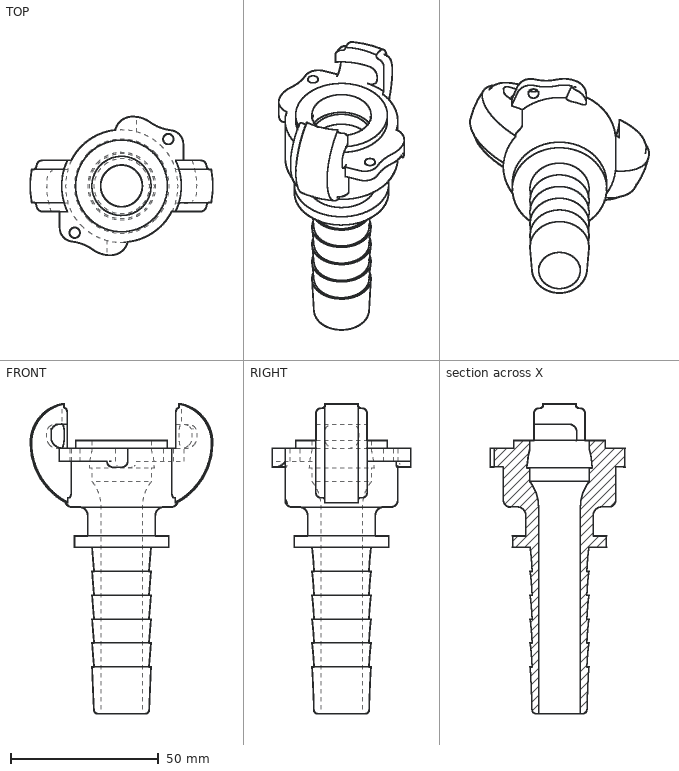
import cadquery as cq
import math


barb_crest_radius = 20.0 / 2
barb_root_radius = 9.3
barb_count = 6
barb_pitch = 8.1
tail_end_rounding = 1.5

collar_radius = 32.0 / 2
collar_bottom = 56.3
collar_top = 60.2
neck_radius = 23.0 / 2
neck_rounding = 2.8

head_radius = 19.1
head_bottom = 69.9
head_top = 89.9
head_rounding = 2.3
seal_radius = 31.0 / 2
seal_top = 92.5

bore_radius = 14.0 / 2
funnel_top = 78.6
funnel_slope = 40
mouth_radius = 20.0 / 2
mouth_bottom = 89.4
seal_groove_radius = 22 / 2
seal_groove_bottom = 83.3

claw_inner_radius = 20.2
claw_reach = 30.9
claw_top = 104.8
claw_widest_height = 91.6
claw_foot_radius = 15.4
claw_width = 17.4
rib_width = 11.2
rib_height = 1.4
claw_edge_rounding = 2.1
rib_rounding = 0.9

pocket_radius = 25.4
pocket_end = 5.9
pocket_mouth = -21
pocket_top = 98.0
pocket_corner_rounding = 3.8
pocket_floor_rounding = 3.7
pocket_roof_rounding = 2.8

lobe_bottom = 85.5
lobe_side = -21
lobe_tip_y = -23.5
lobe_hole_offset = 15.8
lobe_hole_radius = 3.5 / 2
tab_bottom = 83.5
tab_left = -4.9
tab_right = 2.1
tab_rounding = 2.0


def both_sides(shape):
    """Join a shape with its half-turn copy about the axis."""
    return shape.union(shape.rotate((0, 0, 0), (0, 0, 1), 180))


def disc(radius, bottom, top):
    return cq.Workplane("XY", origin=(0, 0, bottom)).circle(radius).extrude(top - bottom)


def revolve_profile(profile):
    return profile.close().revolve(360, (0, 0, 0), (0, 1, 0))


def tangent_radius(across, along):
    """Radius of an arc that starts vertical and ends `across` inward and `along` away."""
    return (across**2 + along**2) / (2 * across)


def make_hose_tail():
    first_crest = collar_bottom - (barb_count - 1) * barb_pitch
    profile = cq.Workplane("XZ").lineTo(barb_root_radius, 0).lineTo(barb_crest_radius, first_crest)
    for step in range(1, barb_count):
        crest_height = first_crest + step * barb_pitch
        profile = profile.lineTo(barb_root_radius, crest_height - barb_pitch)
        profile = profile.lineTo(barb_crest_radius, crest_height)
    tail = revolve_profile(profile.lineTo(0, collar_bottom))
    return tail.faces("<Z").edges().fillet(tail_end_rounding)


def make_head():
    head = disc(head_radius, head_bottom, head_top).faces("<Z").edges().fillet(head_rounding)
    head = head.union(disc(neck_radius, collar_top, head_bottom))
    neck_corner = cq.selectors.RadiusNthSelector(0)
    head = head.faces("<Z[1]").edges(neck_corner).fillet(neck_rounding)
    head = head.union(disc(seal_radius, head_top, seal_top))
    return head.union(disc(collar_radius, collar_bottom, collar_top))


def make_claw_slice(inset, width):
    """Slice of a turned claw, with its outer surface moved inward by `inset`."""
    full_upper = tangent_radius(claw_reach - claw_inner_radius, claw_top - claw_widest_height)
    full_lower = tangent_radius(claw_reach - claw_foot_radius, claw_widest_height - head_bottom)
    upper_centre = claw_reach - full_upper
    lower_centre = claw_reach - full_lower
    upper = full_upper - inset
    lower = full_lower - inset

    top_angle = math.acos((claw_inner_radius - upper_centre) / upper)
    foot_angle = math.acos((claw_foot_radius - lower_centre) / lower)

    def upper_point(angle):
        return upper_centre + upper * math.cos(angle), claw_widest_height + upper * math.sin(angle)

    def lower_point(angle):
        return lower_centre + lower * math.cos(angle), claw_widest_height - lower * math.sin(angle)

    profile = (
        cq.Workplane("XZ")
        .moveTo(claw_foot_radius, head_top)
        .lineTo(claw_inner_radius, head_top)
        .lineTo(*upper_point(top_angle))
        .threePointArc(upper_point(top_angle / 2), upper_point(0))
        .threePointArc(lower_point(foot_angle / 2), lower_point(foot_angle))
    )
    slab = cq.Workplane("XY").box(claw_reach, width, claw_top, centered=(False, True, False))
    return revolve_profile(profile).intersect(slab.translate((-claw_reach, 0, 0)))


def make_pocket():
    """Rounded recess, open at the -Y end, that takes a lobe of the mating coupling."""
    block = cq.Workplane("XY").box(
        pocket_radius, pocket_end - pocket_mouth, pocket_top - head_top, centered=False
    )
    block = block.translate((-pocket_radius, pocket_mouth, head_top))
    pocket = disc(pocket_radius, head_top, pocket_top).intersect(block)
    pocket = pocket.edges("|Z").edges(">Y").edges("<X").fillet(pocket_corner_rounding)
    pocket = pocket.faces("<Z").edges().fillet(pocket_floor_rounding)
    return pocket.faces(">Z").edges().fillet(pocket_roof_rounding)


def make_claw():
    claw = make_claw_slice(rib_height, claw_width)
    claw = claw.faces("<Y or >Y").edges("not %LINE").fillet(claw_edge_rounding)
    claw = claw.union(make_claw_slice(0, rib_width))

    half_rib = rib_width / 2
    corner_reach = math.sqrt((claw_reach - rib_height / 2) ** 2 - half_rib**2)
    margin = 0.1
    for side in (-half_rib, half_rib):
        rib_wall = cq.selectors.BoxSelector(
            (-2 * claw_reach, side - margin, 0),
            (0, side + margin, 2 * claw_top),
            boundingbox=True,
        )
        corners = claw.edges("not %LINE").edges(rib_wall)
        corners = corners.filter(lambda edge: -corner_reach < edge.BoundingBox().xmin < -claw_inner_radius)
        claw = corners.fillet(rib_rounding)
    return claw.cut(make_pocket())


def make_lobe():
    """Lobe with a wavy rim and a rounded tab that hangs below its tip."""
    outline = (
        cq.Workplane("XY", origin=(0, 0, tab_bottom))
        .lineTo(lobe_side, 0)
        .lineTo(lobe_side, -14.0)
        .tangentArcPoint((-16.7, -18.9), relative=False)
        .tangentArcPoint((-9.6, -21.6), relative=False)
        .tangentArcPoint((-3.6, lobe_tip_y), relative=False)
        .tangentArcPoint((tab_right, -19.1), relative=False)
        .close()
    )
    lobe = outline.extrude(head_top - tab_bottom)
    plate = disc(2 * claw_reach, lobe_bottom, head_top)
    tab = cq.Workplane("XY", origin=(0, 0, tab_bottom)).box(
        tab_right - tab_left, -lobe_tip_y, head_top - tab_bottom, centered=False
    )
    tab = tab.edges("<Z and |Y").fillet(tab_rounding).translate((tab_left, lobe_tip_y, 0))
    return lobe.intersect(plate.union(tab))


def make_bore():
    flare = math.radians(funnel_slope)
    funnel_radius = (mouth_radius - bore_radius) / (1 - math.cos(flare))
    funnel_bottom = funnel_top - funnel_radius * math.sin(flare)
    groove_wall_radius = tangent_radius(
        seal_groove_radius - mouth_radius, mouth_bottom - seal_groove_bottom
    )
    profile = (
        cq.Workplane("XZ")
        .lineTo(bore_radius, 0)
        .lineTo(bore_radius, funnel_bottom)
        .tangentArcPoint((mouth_radius, funnel_top), relative=False)
        .lineTo(mouth_radius, seal_groove_bottom)
        .lineTo(seal_groove_radius, seal_groove_bottom)
        .radiusArc((mouth_radius, mouth_bottom), -groove_wall_radius)
        .lineTo(mouth_radius, seal_top)
        .lineTo(0, seal_top)
    )
    return revolve_profile(profile)


def make_lobe_hole():
    hole = disc(lobe_hole_radius, tab_bottom, head_top)
    return hole.translate((-lobe_hole_offset, -lobe_hole_offset, 0))


result = (
    make_hose_tail()
    .union(make_head())
    .union(both_sides(make_claw()))
    .union(both_sides(make_lobe()))
    .cut(both_sides(make_lobe_hole()))
    .cut(make_bore())
)